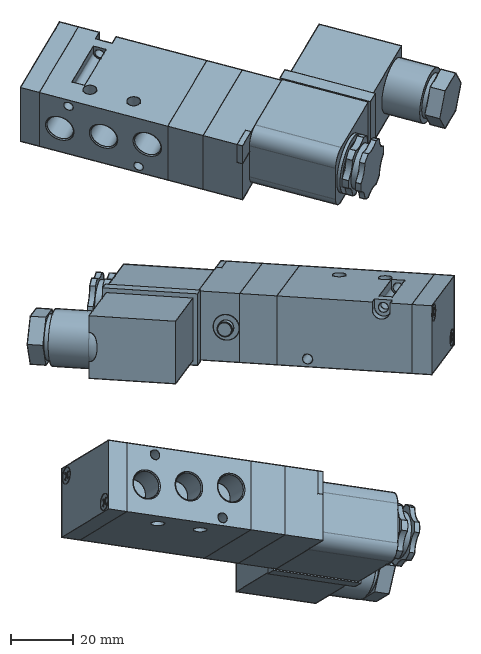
import cadquery as cq
import math


VALVE_HEIGHT = 23.1
VALVE_DEPTH = 34.1
CAP_END = 6.5
BODY_END = 50.8
SPACER_END = 63.0
PILOT_END = 76.6
TOP_Z = VALVE_HEIGHT / 2

SCREW_HEAD_RADIUS = 2.8
SCREW_HEAD_RECESS = 0.1
SCREW_INSET = 3.3
CROSS_LENGTH = 3.3
CROSS_WIDTH = 0.5
CROSS_DEPTH = 1.0

PORT_RADIUS = 4.5
PORT_CHAMFER = 0.4
PORT_DEPTH = 10.1
MIDDLE_PORT_X = 28.7
PORT_STEP_X = 15.1
PORT_STEP_Z = 1.5
CROSS_HOLE_RADIUS = 1.6
CROSS_HOLE_Z = 8.9
CROSS_HOLE_OFFSET_X = 12.1
UPPER_CROSS_HOLE_X = MIDDLE_PORT_X - CROSS_HOLE_OFFSET_X
LOWER_CROSS_HOLE_X = MIDDLE_PORT_X + CROSS_HOLE_OFFSET_X
VERTICAL_HOLE_DIAMETER = 4.4
VERTICAL_HOLE_XS = [MIDDLE_PORT_X - PORT_STEP_X / 2, MIDDLE_PORT_X + PORT_STEP_X / 2]
VERTICAL_HOLE_Y = 7.2
SLOT_WIDTH = 4.4
SLOT_START = 8.5
SLOT_END = 27.2
NOTCH_WIDTH = 5.8
NOTCH_START = 30.7

BUTTON_X = 67.4
BUTTON_RADIUS = 2.5
BUTTON_HEIGHT = 2.6
BUTTON_CHAMFER = 0.3
BUTTON_BASE_RADIUS = 4.3
BUTTON_BASE_HEIGHT = 0.3

KEY_LENGTH = 1.9
KEY_DEPTH = 7.4
KEY_HEIGHT = 7.7

COIL_END = 106.3
COIL_FRONT = 6.0
COIL_CORNER_RADIUS = 4.9
FLANGE_FRONT = 34.5
FLANGE_BACK = 38.7
FLANGE_OVERHANG = 0.8
FLANGE_HEIGHT = 24.0
PLUG_START = 77.4
PLUG_END = 105.8
PLUG_BACK = 64.8
PLUG_HEIGHT = 21.0

GLAND_Y = 56.9
GLAND_RADIUS = 9.3
GLAND_START = 102.7
GLAND_FILLET = 3.0
GLAND_END = 118.9
GLAND_NECK_RADIUS = 7.5
HEX_START = 120.6
HEX_SIDES = 6
OVERALL_LENGTH = 125.8

NUT_Y = 17.0
NUT_NECK_RADIUS = 7.7
NUT_COLLAR_RADIUS = 10.0
NUT_COLLAR_END = 107.4
NUT_PLATES = [(108.0, 110.3), (112.7, 114.6)]
NUT_LOBES = 6
NUT_LOBE_RADIUS = 10.0
NUT_LOBE_HALF_ANGLE = 10
NUT_VALLEY_RADIUS = 8.4


def block(x_range, y_range, z_range):
    """Rectangular block between the given limits."""
    (x0, x1), (y0, y1), (z0, z1) = x_range, y_range, z_range
    return cq.Workplane("XY").box(x1 - x0, y1 - y0, z1 - z0, centered=False).translate((x0, y0, z0))


def x_rod(x_start, x_end, y, z, radius):
    """Cylinder along X."""
    return cq.Workplane("YZ", origin=(x_start, y, z)).circle(radius).extrude(x_end - x_start)


def y_rod(y_start, y_end, x, z, radius):
    """Cylinder along Y."""
    return cq.Workplane("XZ", origin=(x, y_start, z)).circle(radius).extrude(y_start - y_end)


def valve_section(x_start, x_end):
    """Plain slice of the valve's rectangular envelope."""
    return block((x_start, x_end), (0, VALVE_DEPTH), (-TOP_Z, TOP_Z))


def screw_recess(y, z):
    """Shallow round head recess with a diagonal cross drive in its floor."""
    recess = x_rod(0, SCREW_HEAD_RECESS, y, z, SCREW_HEAD_RADIUS)
    for angle in (45, -45):
        arm = (
            cq.Workplane("YZ", origin=(0, y, z))
            .transformed(rotate=(0, 0, angle))
            .rect(CROSS_LENGTH, CROSS_WIDTH)
            .extrude(CROSS_DEPTH)
        )
        recess = recess.union(arm)
    return recess


def make_end_cap():
    cap = valve_section(0, CAP_END)
    cap = cap.cut(screw_recess(VALVE_DEPTH - SCREW_INSET, TOP_Z - SCREW_INSET))
    return cap.cut(screw_recess(SCREW_INSET, SCREW_INSET - TOP_Z))


def port(x, z):
    """Blind port with a chamfered mouth on the front face."""
    bore = y_rod(0, PORT_DEPTH, x, z, PORT_RADIUS)
    mouth = (
        cq.Workplane("XZ", origin=(x, 0, z))
        .circle(PORT_RADIUS + PORT_CHAMFER)
        .workplane(offset=-PORT_CHAMFER)
        .circle(PORT_RADIUS)
        .loft()
    )
    return bore.union(mouth)


def open_channel(y_start, y_end, radius):
    """Round-bottomed channel around the upper cross hole, open at the top face."""
    floor = y_rod(y_start, y_end, UPPER_CROSS_HOLE_X, CROSS_HOLE_Z, radius)
    opening = block(
        (UPPER_CROSS_HOLE_X - radius, UPPER_CROSS_HOLE_X + radius),
        (y_start, y_end),
        (CROSS_HOLE_Z, TOP_Z),
    )
    return floor.union(opening)


def make_valve_body():
    body = valve_section(CAP_END, BODY_END)
    for step in (-1, 0, 1):
        body = body.cut(port(MIDDLE_PORT_X + step * PORT_STEP_X, step * PORT_STEP_Z))
    for x, z in ((UPPER_CROSS_HOLE_X, CROSS_HOLE_Z), (LOWER_CROSS_HOLE_X, -CROSS_HOLE_Z)):
        body = body.cut(y_rod(0, VALVE_DEPTH, x, z, CROSS_HOLE_RADIUS))
    for x in VERTICAL_HOLE_XS:
        hole_start = cq.Workplane("XY", origin=(x, VERTICAL_HOLE_Y, -TOP_Z))
        body = body.cut(hole_start.circle(VERTICAL_HOLE_DIAMETER / 2).extrude(VALVE_HEIGHT))
    body = body.cut(open_channel(SLOT_START, SLOT_END, SLOT_WIDTH / 2))
    return body.cut(open_channel(NOTCH_START, VALVE_DEPTH, NOTCH_WIDTH / 2))


def key_block():
    """Corner key at the top front of the pilot block."""
    return block((PILOT_END - KEY_LENGTH, PILOT_END), (0, KEY_DEPTH), (TOP_Z - KEY_HEIGHT, TOP_Z))


def make_pilot_block():
    base = y_rod(VALVE_DEPTH, VALVE_DEPTH + BUTTON_BASE_HEIGHT, BUTTON_X, 0, BUTTON_BASE_RADIUS)
    button = y_rod(VALVE_DEPTH, VALVE_DEPTH + BUTTON_HEIGHT, BUTTON_X, 0, BUTTON_RADIUS)
    button = button.faces(">Y").chamfer(BUTTON_CHAMFER)
    pilot = valve_section(SPACER_END, PILOT_END).union(base).union(button)
    return pilot.cut(key_block())


def make_coil():
    coil = block((PILOT_END, COIL_END), (COIL_FRONT, FLANGE_FRONT), (-TOP_Z, TOP_Z))
    return coil.edges("|X and <Y").fillet(COIL_CORNER_RADIUS)


def make_plug_housing():
    flange = block(
        (PILOT_END - FLANGE_OVERHANG, COIL_END + FLANGE_OVERHANG),
        (FLANGE_FRONT, FLANGE_BACK),
        (-FLANGE_HEIGHT / 2, FLANGE_HEIGHT / 2),
    )
    plug = block((PLUG_START, PLUG_END), (FLANGE_BACK, PLUG_BACK), (-PLUG_HEIGHT / 2, PLUG_HEIGHT / 2))
    return flange.union(plug)


def make_cable_gland():
    sleeve = x_rod(GLAND_START, GLAND_END, GLAND_Y, 0, GLAND_RADIUS)
    sleeve = sleeve.faces("<X").edges().fillet(GLAND_FILLET)
    neck = x_rod(GLAND_END, HEX_START, GLAND_Y, 0, GLAND_NECK_RADIUS)
    hex_nut = (
        cq.Workplane("YZ", origin=(HEX_START, GLAND_Y, 0))
        .polygon(HEX_SIDES, 2 * GLAND_RADIUS)
        .extrude(OVERALL_LENGTH - HEX_START)
    )
    return sleeve.union(neck).union(hex_nut)


def polar(radius, degrees):
    """Point at a radius and angle about the axis of the retaining nut."""
    angle = math.radians(degrees)
    return (radius * math.cos(angle), radius * math.sin(angle))


def lobed_plate(x_start, x_end):
    """Grip plate with round lobe tips and scalloped valleys between them."""
    pitch = 360 / NUT_LOBES
    plate = cq.Workplane("YZ", origin=(x_start, NUT_Y, 0))
    plate = plate.moveTo(*polar(NUT_LOBE_RADIUS, -NUT_LOBE_HALF_ANGLE))
    for lobe in range(NUT_LOBES):
        tip = lobe * pitch
        plate = plate.threePointArc(
            polar(NUT_LOBE_RADIUS, tip), polar(NUT_LOBE_RADIUS, tip + NUT_LOBE_HALF_ANGLE)
        )
        plate = plate.threePointArc(
            polar(NUT_VALLEY_RADIUS, tip + pitch / 2),
            polar(NUT_LOBE_RADIUS, tip + pitch - NUT_LOBE_HALF_ANGLE),
        )
    return plate.close().extrude(x_end - x_start)


def make_retaining_nut():
    last_plate_end = NUT_PLATES[-1][1]
    nut = x_rod(COIL_END, last_plate_end, NUT_Y, 0, NUT_NECK_RADIUS)
    nut = nut.union(x_rod(COIL_END, NUT_COLLAR_END, NUT_Y, 0, NUT_COLLAR_RADIUS))
    for x_start, x_end in NUT_PLATES:
        nut = nut.union(lobed_plate(x_start, x_end))
    return nut


def make_solenoid():
    solenoid = make_coil().union(key_block()).union(make_plug_housing())
    return solenoid.union(make_cable_gland()).union(make_retaining_nut())


end_cap = make_end_cap()
valve_body = make_valve_body()
spacer = valve_section(BODY_END, SPACER_END)
pilot_block = make_pilot_block()
solenoid = make_solenoid()

result = cq.Compound.makeCompound(
    [end_cap.val(), valve_body.val(), spacer.val(), pilot_block.val(), solenoid.val()]
)